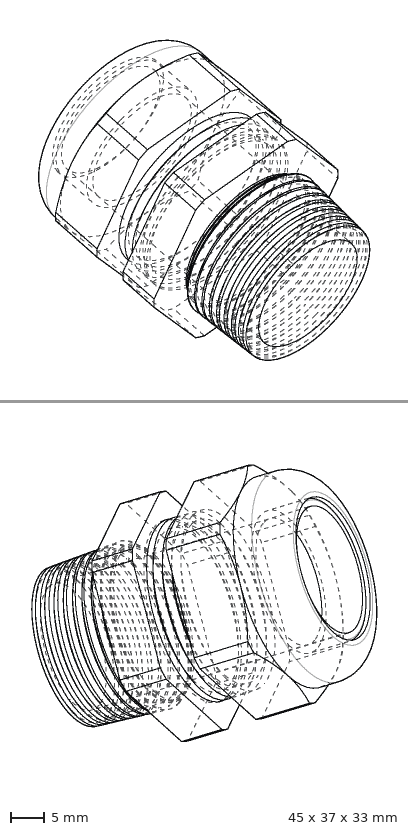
import cadquery as cq
import math


sides = 6
half_sector = 180 / sides
across_flats = 33.02
corner_radius = 18.5

dome_radius = 4.57
collar_radius = across_flats / 2
collar_end = 7.75
head_length = 18.2
hex_chamfer_angle = 30

flange_start = 24.05
flange_end = 31.03
overall_length = 44.96

bore_radius = 9.9
seal_radius = 11.15
seal_start = 0.6
seal_end = 7.65
seal_edge_radius = 0.3

pitch = 1.607
groove_half_angle = 30
groove_depth = pitch / 2 / math.tan(math.radians(groove_half_angle))
first_groove = 18.93
head_root_radius = 12.83
head_groove_count = 4
pitches_between_threads = 8
first_entry_groove = first_groove + pitches_between_threads * pitch
entry_root_radius = 11.9
entry_groove_count = 9
entry_thread_radius = 13.2
entry_taper = 3.1
neck_radius = 12.05
neck_clearance = 0.25
neck_end = first_entry_groove - neck_clearance


def tangent(degrees):
    return math.tan(math.radians(degrees))


def cylinder(radius, start, end):
    """Solid round bar about the X axis."""
    return cq.Workplane("YZ").workplane(offset=start).circle(radius).extrude(end - start)


def revolve_about_x(sketch):
    """Solid of revolution of a closed X-radius outline."""
    return sketch.close().revolve(360, (0, 0, 0), (1, 0, 0))


def hexagon(start, end):
    """Hexagonal prism with flats facing up and down and turned corners."""
    prism = (
        cq.Workplane("YZ")
        .workplane(offset=start)
        .polygon(sides, across_flats, circumscribed=True)
        .extrude(end - start)
    )
    prism = prism.rotate((0, 0, 0), (1, 0, 0), half_sector)
    return prism.intersect(cylinder(corner_radius, start, end))


def make_head():
    """Domed collar running into a hexagon whose front corners are chamfered."""
    collar = cylinder(collar_radius, 0, collar_end).faces("<X").edges().fillet(dome_radius)
    chamfer_length = (corner_radius - collar_radius) * tangent(hex_chamfer_angle)
    chamfer_envelope = revolve_about_x(
        cq.Workplane("XY")
        .moveTo(collar_end, 0)
        .lineTo(collar_end, collar_radius)
        .lineTo(collar_end + chamfer_length, corner_radius)
        .lineTo(head_length, corner_radius)
        .lineTo(head_length, 0)
    )
    return collar.union(hexagon(collar_end, head_length).intersect(chamfer_envelope))


def v_groove(position, root_radius):
    """Cutter for one thread groove: a ring of triangular section, one pitch wide at its mouth."""
    half_width = pitch / 2
    mouth_radius = root_radius + groove_depth
    return revolve_about_x(
        cq.Workplane("XY")
        .moveTo(position, root_radius)
        .lineTo(position + half_width, mouth_radius)
        .lineTo(position - half_width, mouth_radius)
    )


def make_head_thread_and_flange():
    """Straight thread between head and flange; its last groove runs on into the flange face."""
    shank = cylinder(head_root_radius + groove_depth, head_length, flange_start)
    shank = shank.union(hexagon(flange_start, flange_end))
    for index in range(head_groove_count):
        shank = shank.cut(v_groove(first_groove + index * pitch, head_root_radius))
    return shank


def make_entry_thread():
    """Thread beyond the flange, with a neck and tapered crests that widen toward its end."""
    end_radius = entry_thread_radius - (overall_length - neck_end) * tangent(entry_taper)
    shank = revolve_about_x(
        cq.Workplane("XY")
        .moveTo(flange_end, 0)
        .lineTo(flange_end, neck_radius)
        .lineTo(neck_end, neck_radius)
        .lineTo(neck_end, entry_thread_radius)
        .lineTo(overall_length, end_radius)
        .lineTo(overall_length, 0)
    )
    for index in range(entry_groove_count):
        shank = shank.cut(v_groove(first_entry_groove + index * pitch, entry_root_radius))
    return shank


def make_housing():
    """Head, flange and threads in one piece, bored through with a seat for the seal."""
    return (
        make_head()
        .union(make_head_thread_and_flange())
        .union(make_entry_thread())
        .cut(cylinder(bore_radius, 0, overall_length))
        .cut(cylinder(seal_radius, 0, seal_end))
    )


def make_seal():
    """Ring filling the seat, with a rounded outer edge and the same bore as the housing."""
    ring = cylinder(seal_radius, seal_start, seal_end)
    ring = ring.faces("<X").edges().fillet(seal_edge_radius)
    return ring.cut(cylinder(bore_radius, seal_start, seal_end))


housing = make_housing()
seal = make_seal()

result = cq.Compound.makeCompound([housing.val(), seal.val()])